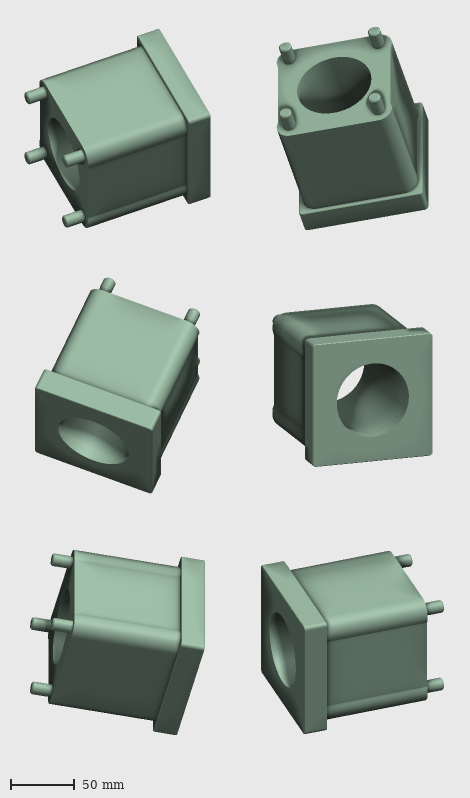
import cadquery as cq
import math

flange_thickness = 19.0
pin_length = 16.0
total_length = 120.0
body_length = total_length - flange_thickness - pin_length

flange_side = 100.0
flange_corner_radius = 3.0
flange_edge_chamfer = 0.5

body_side = 93.1
column_radius = 11.3
column_wrap_angle = math.radians(16.5)
side_flat_width = 90.7
side_flat_height = 59.3

bore_diameter = 60.0

pin_diameter = 10.0
pin_spacing = 72.0
pin_chamfer = 1.0

body_front = -body_length


def make_flange():
    """Square plate with rounded corners and broken edges on both faces."""
    plate = cq.Workplane("XZ").rect(flange_side, flange_side).extrude(-flange_thickness)
    plate = plate.edges("|Y").fillet(flange_corner_radius)
    return plate.faces("<Y or >Y").edges().chamfer(flange_edge_chamfer)


def make_body():
    """Prism with flat top and bottom, recessed sides and four corner columns."""
    half_side = body_side / 2
    center = half_side - column_radius
    flat_x = side_flat_width / 2
    flat_z = side_flat_height / 2
    mid_angle = (math.pi / 2 - column_wrap_angle) / 2

    def column_point(angle):
        return (center + column_radius * math.cos(angle),
                center + column_radius * math.sin(angle))

    arc_mid = column_point(mid_angle)
    arc_end = column_point(-column_wrap_angle)

    def mirrored(point, x_sign, z_sign):
        return (x_sign * point[0], z_sign * point[1])

    outline = cq.Workplane("XZ").moveTo(-center, half_side).lineTo(center, half_side)
    for sign in (1, -1):
        outline = (
            outline.threePointArc(mirrored(arc_mid, sign, sign), mirrored(arc_end, sign, sign))
            .lineTo(sign * flat_x, sign * flat_z)
            .lineTo(sign * flat_x, -sign * flat_z)
            .lineTo(*mirrored(arc_end, sign, -sign))
            .threePointArc(mirrored(arc_mid, sign, -sign), (sign * center, -sign * half_side))
        )
        if sign == 1:
            outline = outline.lineTo(-center, -half_side)
    return outline.close().extrude(body_length)


def make_pins():
    """Four pins with chamfered tips on the front face of the body."""
    pins = (
        cq.Workplane("XZ", origin=(0, body_front, 0))
        .rect(pin_spacing, pin_spacing, forConstruction=True)
        .vertices()
        .circle(pin_diameter / 2)
        .extrude(pin_length)
    )
    return pins.faces("<Y").edges().chamfer(pin_chamfer)


bore = (
    cq.Workplane("XZ", origin=(0, flange_thickness, 0))
    .circle(bore_diameter / 2)
    .extrude(flange_thickness + body_length)
)

result = make_flange().union(make_body()).union(make_pins()).cut(bore)